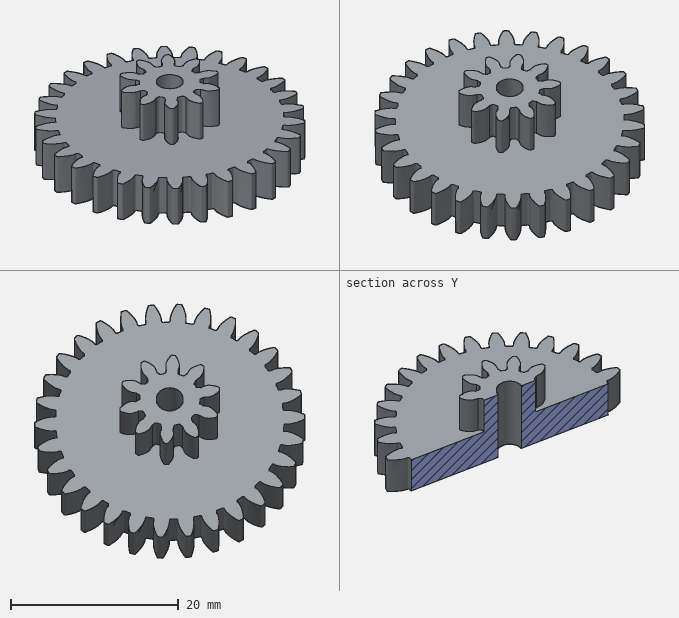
import cadquery as cq
import math

MODULE = 1.0
PRESSURE_ANGLE = math.radians(20)
ADDENDUM = 1.1 * MODULE
DEDENDUM = 1.4 * MODULE
ROOT_FILLET = 0.2
TIP_FILLET = 0.2
FIRST_TOOTH_ANGLE = math.pi / 2

WHEEL_TEETH = 30
PINION_TEETH = 10
WHEEL_THICKNESS = 5.0
PINION_HEIGHT = 5.0
BORE_DIAMETER = 3.2

PINION_FLARE_HEIGHT = 0.47
PINION_FLARE_WIDTH = 0.2

TOTAL_HEIGHT = WHEEL_THICKNESS + PINION_HEIGHT

FLANK_STEPS = 6
EDGE_TOLERANCE = 1e-3


def polar(radius, angle):
    return (radius * math.cos(angle), radius * math.sin(angle))


def involute(angle):
    return math.tan(angle) - angle


def tooth_flank(teeth, base_radius, tip_radius):
    """Involute flank as (radius, half of the tooth's angle), from the base circle to the tip."""
    base_half_angle = math.pi / (2 * teeth) + involute(PRESSURE_ANGLE)
    tip_angle = math.acos(base_radius / tip_radius)
    flank = []
    for step in range(FLANK_STEPS + 1):
        flank_angle = tip_angle * step / FLANK_STEPS
        radius = base_radius / math.cos(flank_angle)
        flank.append((radius, base_half_angle - involute(flank_angle)))
    return flank


def fillet_edges_at_radius(body, radius, fillet_radius):
    """Round the upright edges that lie at a given distance from the axis."""

    def lies_at_radius(edge):
        centre = edge.Center()
        return abs(math.hypot(centre.x, centre.y) - radius) < EDGE_TOLERANCE

    return body.edges("|Z").filter(lies_at_radius).fillet(fillet_radius)


def gear(teeth, thickness, flare_height=0, flare_width=0):
    """Spur gear standing on Z = 0, with flanks that run radially below the base circle.

    A flare widens each side of a tooth by flare_width over the last flare_height above the root.
    """
    pitch_radius = teeth * MODULE / 2
    base_radius = pitch_radius * math.cos(PRESSURE_ANGLE)
    tip_radius = pitch_radius + ADDENDUM
    root_radius = pitch_radius - DEDENDUM
    tooth_pitch = 2 * math.pi / teeth
    flank = tooth_flank(teeth, base_radius, tip_radius)
    base_half_angle = flank[0][1]
    root_half_angle = base_half_angle + flare_width / root_radius
    waist_radius = root_radius + flare_height

    outline = cq.Workplane("XY").moveTo(*polar(root_radius, FIRST_TOOTH_ANGLE - root_half_angle))
    for tooth in range(teeth):
        middle = FIRST_TOOTH_ANGLE + tooth * tooth_pitch
        rising = [polar(radius, middle - half_angle) for radius, half_angle in flank]
        falling = [polar(radius, middle + half_angle) for radius, half_angle in reversed(flank)]
        if flare_height > 0:
            outline = outline.lineTo(*polar(waist_radius, middle - base_half_angle))
        outline = (
            outline.lineTo(*rising[0])
            .spline(rising[1:], includeCurrent=True)
            .threePointArc(polar(tip_radius, middle), falling[0])
            .spline(falling[1:], includeCurrent=True)
        )
        if flare_height > 0:
            outline = outline.lineTo(*polar(waist_radius, middle + base_half_angle))
        outline = outline.lineTo(*polar(root_radius, middle + root_half_angle)).threePointArc(
            polar(root_radius, middle + tooth_pitch / 2),
            polar(root_radius, middle + tooth_pitch - root_half_angle),
        )

    body = outline.close().extrude(thickness)
    body = fillet_edges_at_radius(body, root_radius, ROOT_FILLET)
    return fillet_edges_at_radius(body, tip_radius, TIP_FILLET)


wheel = gear(WHEEL_TEETH, WHEEL_THICKNESS)
pinion = gear(PINION_TEETH, TOTAL_HEIGHT, PINION_FLARE_HEIGHT, PINION_FLARE_WIDTH)
bore = cq.Workplane("XY").circle(BORE_DIAMETER / 2).extrude(TOTAL_HEIGHT)

result = wheel.union(pinion).cut(bore)